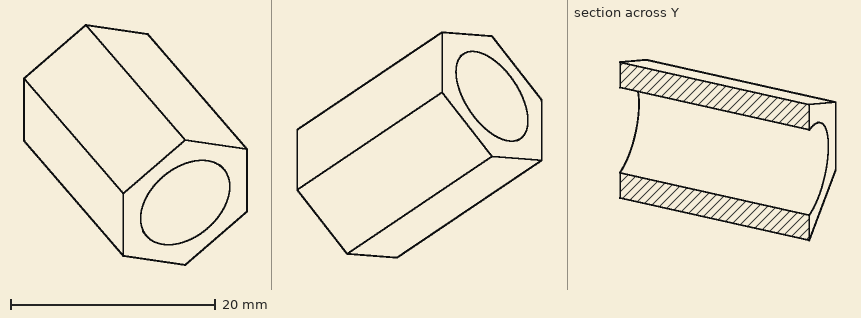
import cadquery as cq

length = 20
corner_diameter = 16
bore_diameter = 10

hexagon = (
    cq.Workplane("YZ")
    .transformed(rotate=(0, 0, 90))
    .polygon(6, corner_diameter)
    .extrude(length / 2, both=True)
)

bore = cq.Workplane("YZ").circle(bore_diameter / 2).extrude(length / 2, both=True)

result = hexagon.cut(bore)